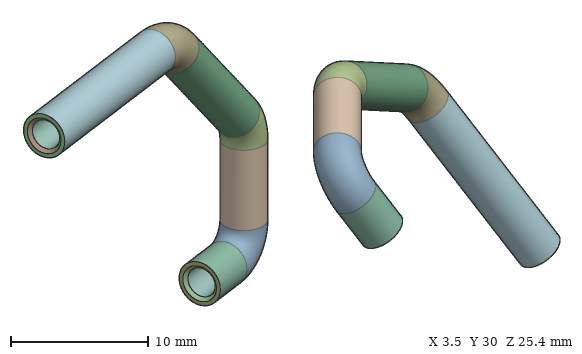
import cadquery as cq
import math

bar_diameter = 3.5
overall_length = 30.0
overall_height = 25.35
short_end_y = 22.0
lower_corner_z = 10.47
upper_corner_y = 17.45
foot_bend_radius = 2.5
lower_bend_radius = 3.5
upper_bend_radius = 4.25

hole_diameter = 2.3
hole_depth = 3.6
countersink_diameter = 2.85
countersink_depth = (countersink_diameter - hole_diameter) / 2

back_y = overall_length - bar_diameter / 2
upper_z = overall_height - bar_diameter


def bend_points(before, corner, after, radius):
    """Start, middle and end of the arc that rounds a centreline corner."""
    to_before = (cq.Vector(*before) - cq.Vector(*corner)).normalized()
    to_after = (cq.Vector(*after) - cq.Vector(*corner)).normalized()
    half_angle = to_before.getAngle(to_after) / 2
    tangent_length = radius / math.tan(half_angle)
    middle_offset = radius / math.sin(half_angle) - radius
    bisector = (to_before + to_after).normalized()
    apex = cq.Vector(*corner)
    points = (
        apex + to_before * tangent_length,
        apex + bisector * middle_offset,
        apex + to_after * tangent_length,
    )
    return [(point.x, point.y) for point in points]


def bent_bar():
    """Round bar swept along the rounded centreline."""
    corners = [
        (short_end_y, 0),
        (back_y, 0),
        (back_y, lower_corner_z),
        (upper_corner_y, upper_z),
        (0, upper_z),
    ]
    radii = [foot_bend_radius, lower_bend_radius, upper_bend_radius]
    path = cq.Workplane("YZ").moveTo(*corners[0])
    for index, radius in enumerate(radii):
        start, middle, end = bend_points(*corners[index:index + 3], radius)
        path = path.lineTo(*start).threePointArc(middle, end)
    path = path.lineTo(*corners[-1])
    section = cq.Workplane("XZ", origin=(0, short_end_y, 0)).circle(bar_diameter / 2)
    return section.sweep(path)


def end_hole(face_y, centre_z):
    """Flat-bottomed hole with a conical mouth, running along +Y from an end face."""
    profile = [
        (0, 0),
        (countersink_diameter / 2, 0),
        (hole_diameter / 2, countersink_depth),
        (hole_diameter / 2, hole_depth),
        (0, hole_depth),
    ]
    hole = cq.Workplane("XY").polyline(profile).close().revolve(360, (0, 0, 0), (0, 1, 0))
    return hole.translate((0, face_y, centre_z))


result = bent_bar()
for face_y, centre_z in [(short_end_y, 0), (0, upper_z)]:
    result = result.cut(end_hole(face_y, centre_z))